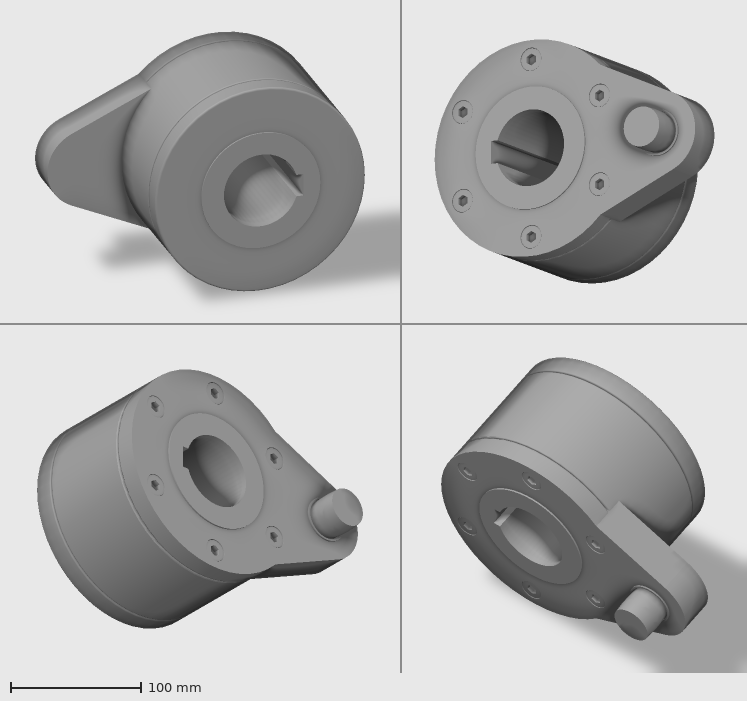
import cadquery as cq
import math


body_diameter = 170.0
body_length = 111.8
cover_length = 17.0
edge_radius = 1.5
groove_root_width = 0.2

hub_diameter = 96.1
hub_projection = 1.4
bore_diameter = 60.0
keyway_width = 18.0
keyway_reach = 34.3

arm_thickness = 30.0
arm_root_radius = 79.0
arm_tip_radius = 33.0
overall_width = 230.0
pin_distance = overall_width - body_diameter / 2 - arm_tip_radius

collar_diameter = 36.3
collar_bore = 33.1
collar_projection = 1.4
roller_gap = 0.2
roller_end_diameter = 31.3
roller_crown_diameter = 32.7
pin_projection = 25.8

screw_count = 6
screw_circle_radius = 69.7
counterbore_diameter = 18.5
head_diameter = 17.7
head_recess = 0.5
counterbore_depth = 11.5
hex_across_flats = 8.0
hex_depth = 5.8


def disc(diameter, start, end, y=0.0, z=0.0):
    """Cylinder along X between two X positions."""
    return (
        cq.Workplane("YZ", origin=(start, y, z))
        .circle(diameter / 2)
        .extrude(end - start)
    )


def make_body():
    half_root = groove_root_width / 2
    front_groove = cover_length
    rear_groove = body_length - cover_length
    front_cover = disc(body_diameter, 0, front_groove - half_root)
    front_cover = front_cover.faces(">X").edges().fillet(edge_radius)
    shell = disc(body_diameter, front_groove + half_root, rear_groove - half_root)
    shell = shell.faces("<X or >X").edges().fillet(edge_radius)
    rear_cover = disc(body_diameter, rear_groove + half_root, body_length)
    rear_cover = rear_cover.faces("<X or >X").edges().fillet(edge_radius)
    core = disc(body_diameter - 2 * edge_radius, edge_radius, body_length - edge_radius)
    return core.union(front_cover).union(shell).union(rear_cover)


def make_arm():
    tangent_angle = math.asin((arm_root_radius - arm_tip_radius) / pin_distance)
    along = math.sin(tangent_angle)
    across = math.cos(tangent_angle)
    root_y = -arm_root_radius * along
    root_z = arm_root_radius * across
    tip_y = -pin_distance - arm_tip_radius * along
    tip_z = arm_tip_radius * across
    return (
        cq.Workplane("YZ")
        .moveTo(root_y, root_z)
        .lineTo(tip_y, tip_z)
        .threePointArc((-pin_distance - arm_tip_radius, 0), (tip_y, -tip_z))
        .lineTo(root_y, -root_z)
        .close()
        .extrude(arm_thickness)
    )


def make_pin():
    roller_start = -collar_projection - roller_gap
    roller_middle = (roller_start - pin_projection) / 2
    end_radius = roller_end_diameter / 2
    roller = (
        cq.Workplane("XY")
        .moveTo(roller_start, 0)
        .lineTo(roller_start, end_radius)
        .threePointArc((roller_middle, roller_crown_diameter / 2), (-pin_projection, end_radius))
        .lineTo(-pin_projection, 0)
        .close()
        .revolve(360, (0, 0, 0), (1, 0, 0))
        .translate((0, -pin_distance, 0))
    )
    collar = disc(collar_diameter, -collar_projection, 0, -pin_distance)
    collar = collar.cut(disc(collar_bore, -collar_projection, 0, -pin_distance))
    neck = disc(roller_end_diameter, roller_start, 0, -pin_distance)
    return roller.union(neck).union(collar)


def make_screw_gap(y, z):
    """Space around and above one screw head, together with its hexagon socket."""
    gap = disc(counterbore_diameter, 0, counterbore_depth, y, z)
    gap = gap.cut(disc(head_diameter, head_recess, counterbore_depth, y, z))
    corner_diameter = hex_across_flats / math.cos(math.pi / 6)
    socket = (
        cq.Workplane("YZ", origin=(0, y, z))
        .transformed(rotate=(0, 0, 90))
        .polygon(6, corner_diameter)
        .extrude(hex_depth)
    )
    return gap.union(socket)


def make_bore():
    start = -hub_projection
    end = body_length + hub_projection
    keyway = (
        cq.Workplane("YZ", origin=(start, keyway_reach / 2, 0))
        .rect(keyway_reach, keyway_width)
        .extrude(end - start)
    )
    return disc(bore_diameter, start, end).union(keyway)


hub = disc(hub_diameter, -hub_projection, body_length + hub_projection)
result = make_body().union(make_arm()).union(hub).union(make_pin()).cut(make_bore())

for index in range(screw_count):
    angle = math.pi / 2 + index * 2 * math.pi / screw_count
    screw_y = screw_circle_radius * math.cos(angle)
    screw_z = screw_circle_radius * math.sin(angle)
    result = result.cut(make_screw_gap(screw_y, screw_z))